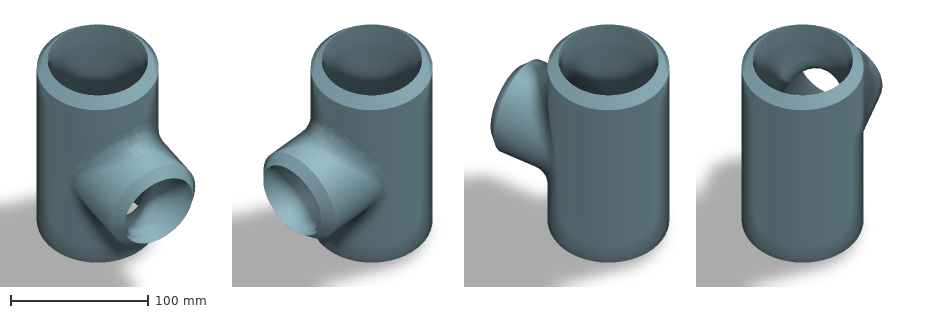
import cadquery as cq

run_length = 171.4
run_diameter = 89.0
run_radius = run_diameter / 2
run_bore_radius = 36.7

overall_width = 127.0
branch_reach = overall_width - run_radius
branch_radius = 36.5
branch_bore_radius = 29.5

run_bevel_height = 7.5
run_bevel_depth = 7.5
branch_bevel_length = 7.2
branch_bevel_depth = 6.9

outer_blend_radius = 14.4
inner_blend_radius = outer_blend_radius + run_radius - run_bore_radius


def blended_tee(main_radius, side_radius, blend_radius):
    """Solid vertical cylinder with a side cylinder along +X, filleted where they meet."""
    main = cq.Workplane("XY").circle(main_radius).extrude(run_length / 2, both=True)
    side = cq.Workplane("YZ").circle(side_radius).extrude(branch_reach)
    junction = main.union(side).edges("not(%CIRCLE or %LINE)")
    return junction.fillet(blend_radius)


def bevel_ends(body):
    """Bevel the outer rims of both run ends and the branch end."""
    for end in (">Z", "<Z"):
        rim = body.faces(end).edges()
        body = rim.chamfer(run_bevel_height, run_bevel_depth)
    branch_rim = body.faces(">X").edges()
    return branch_rim.chamfer(branch_bevel_length, branch_bevel_depth)


outside = bevel_ends(blended_tee(run_radius, branch_radius, outer_blend_radius))
inside = blended_tee(run_bore_radius, branch_bore_radius, inner_blend_radius)
result = outside.cut(inside)